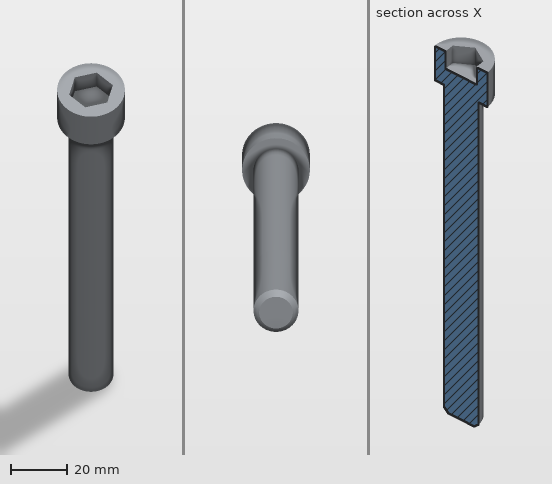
import cadquery as cq
import math

total_length = 166.0
head_diameter = 24.0
shank_diameter = 16.0
head_height = shank_diameter
shank_length = total_length - head_height
thread_length = 44.0
tip_chamfer_height = 2.0
tip_chamfer_inset = 2.0
socket_across_flats = 14.0
socket_across_corners = socket_across_flats / math.cos(math.pi / 6)
socket_depth = head_height / 2


def make_head():
    return cq.Workplane("XY").circle(head_diameter / 2).extrude(head_height)


def make_plain_shank():
    plain_length = shank_length - thread_length
    return cq.Workplane("XY").circle(shank_diameter / 2).extrude(-plain_length)


def make_threaded_end():
    """Thread modelled as a plain cylinder at its major diameter, with a chamfered tip."""
    end = (
        cq.Workplane("XY", origin=(0, 0, -shank_length))
        .circle(shank_diameter / 2)
        .extrude(thread_length)
    )
    return end.faces("<Z").chamfer(tip_chamfer_height, tip_chamfer_inset)


def make_hex_socket():
    """Hexagonal prism with two corners on the X axis."""
    return (
        cq.Workplane("XY", origin=(0, 0, head_height))
        .polygon(6, socket_across_corners)
        .extrude(-socket_depth)
    )


screw = make_head().union(make_plain_shank()).union(make_threaded_end())
result = screw.cut(make_hex_socket())